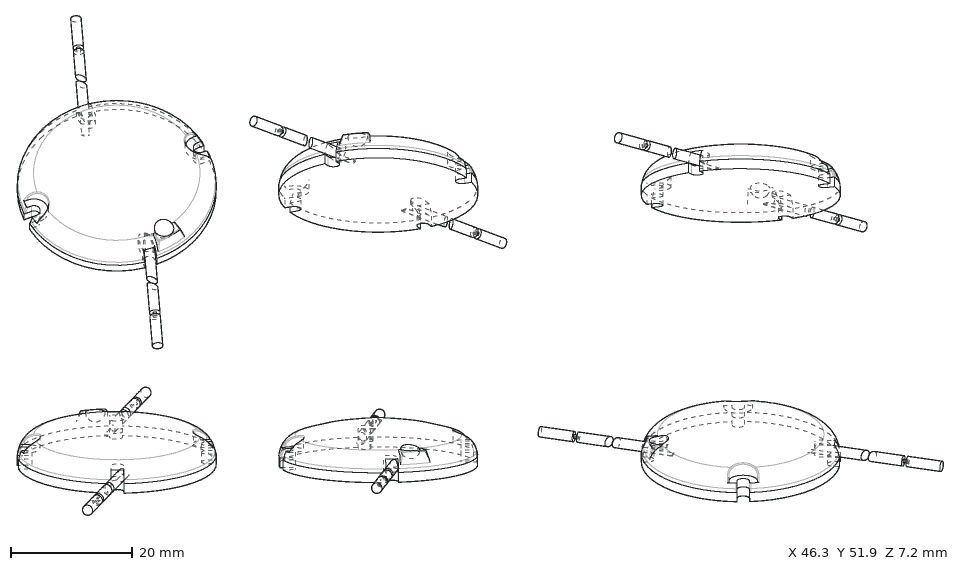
import cadquery as cq
import math

base_radius = 16.45
base_height = 1.65
cover_height = 7.2
rim_band = (16.3, 2.3)
shoulder_middle = (15.45, 3.9)
crown_edge = (13.75, 5.0)

notch_angle = 55.0
notch_center_radius = 15.1
notch_radius = 1.05
counterbore_radius = 2.4
counterbore_floor = 3.15
notch_edge_fillet = 0.2

pad_angle = -25.5
pad_half_width = 3.1
pad_inner_x = 10.4
pad_draft = 16.0
pad_edge_fillet = 0.2
dimple_radius = 1.6
dimple_center_radius = 13.75

cable_angle = -56.2
cable_offset = 4.45
cable_radius = 0.9
cable_z = 2.3
stub_start = 10.4
cable_end = 33.6
core_radius = 0.3
strip_start = 26.95
strip_end = 27.65
break_start = 20.25
break_end = 21.5
break_slant = 64.0

cable_notch_angle = -40.0
base_notch_center_radius = 15.4
cover_notch_center_radius = 13.25
cable_notch_ceiling = 3.8

clearance = 2.6
half_turns = (0, 180)


def turned(shape, angle):
    """Turn a shape about the vertical axis of the body."""
    return shape.rotate((0, 0, 0), (0, 0, 1), angle)


def rim_notch(radius, center_radius, angle, floor, ceiling):
    """Round-ended radial notch that opens outward through the rim."""
    mouth_length = base_radius + clearance - center_radius
    notch = (
        cq.Workplane("XY", origin=(center_radius, 0, floor))
        .moveTo(mouth_length, -radius)
        .lineTo(0, -radius)
        .threePointArc((-radius, 0), (0, radius))
        .lineTo(mouth_length, radius)
        .close()
        .extrude(ceiling - floor)
    )
    return turned(notch, angle)


def screw_notch():
    """Through notch for the shank of a screw."""
    return rim_notch(notch_radius, notch_center_radius, notch_angle, 0, cover_height)


def counterbore():
    """Wider notch above the screw notch for the head of the screw."""
    return rim_notch(
        counterbore_radius, notch_center_radius, notch_angle, counterbore_floor, cover_height
    )


def cable_notch(center_radius):
    """Notch around a cable, open at the bottom."""
    return rim_notch(notch_radius, center_radius, cable_notch_angle, 0, cable_notch_ceiling)


def cable_cylinder(start, end, radius):
    """Straight length of cable between two distances along its axis."""
    cylinder = (
        cq.Workplane("YZ", origin=(start, cable_offset, cable_z))
        .circle(radius)
        .extrude(end - start)
    )
    return turned(cylinder, cable_angle)


def beyond_cut(distance):
    """Block that covers the cable beyond a slanted cut at a distance along its axis."""
    length = cable_end
    block = (
        cq.Workplane("XY")
        .box(length, length, cover_height, centered=(False, True, False))
        .rotate((0, 0, 0), (0, 0, 1), break_slant - 90)
        .translate((distance, cable_offset, 0))
    )
    return turned(block, cable_angle)


def cable_stub():
    """Cable piece from inside the cover to the break."""
    stub = cable_cylinder(stub_start, strip_start, cable_radius)
    return stub.cut(beyond_cut(break_start))


def make_lead():
    """Cable piece beyond the break, stripped to its core over a short gap."""
    near_end = cable_cylinder(base_radius, strip_start, cable_radius)
    near_end = near_end.intersect(beyond_cut(break_end))
    core = cable_cylinder(strip_start, strip_end, core_radius)
    far_end = cable_cylinder(strip_end, cable_end, cable_radius)
    return near_end.union(core).union(far_end)


def indicator_pad():
    """Drafted block with flat top level with the edge of the crown."""
    side_x = math.sqrt(base_radius**2 - pad_half_width**2)
    pad = (
        cq.Workplane("XY", origin=(0, 0, base_height))
        .moveTo(pad_inner_x, -pad_half_width)
        .lineTo(side_x, -pad_half_width)
        .threePointArc((base_radius, 0), (side_x, pad_half_width))
        .lineTo(pad_inner_x, pad_half_width)
        .close()
        .extrude(crown_edge[1] - base_height, taper=pad_draft)
    )
    pad = pad.faces(">Z or >X").edges("not <Z").fillet(pad_edge_fillet)
    return turned(pad, pad_angle)


def dimple():
    """Ball that hollows out the top of the indicator pad."""
    ball = cq.Workplane("XY").sphere(dimple_radius)
    return turned(ball.translate((dimple_center_radius, 0, crown_edge[1])), pad_angle)


def cover_dome():
    """Revolved cover: drafted band, round shoulder and spherical crown."""
    crown_drop = cover_height - crown_edge[1]
    crown_radius = (crown_edge[0] ** 2 + crown_drop**2) / (2 * crown_drop)
    middle_r = crown_edge[0] / 2
    middle_z = cover_height - crown_radius + math.sqrt(crown_radius**2 - middle_r**2)
    return (
        cq.Workplane("XZ")
        .moveTo(0, base_height)
        .lineTo(base_radius, base_height)
        .lineTo(*rim_band)
        .threePointArc(shoulder_middle, crown_edge)
        .threePointArc((middle_r, middle_z), (0, cover_height))
        .close()
        .revolve(360, (0, 0, 0), (0, 1, 0))
    )


def notched_dome():
    """Cover dome with stepped screw notches whose mouths are rounded over."""
    dome = cover_dome()
    for turn in half_turns:
        dome = dome.cut(turned(counterbore(), turn))
        dome = dome.cut(turned(screw_notch(), turn))
    return dome.edges("%BSPLINE or %HYPERBOLA").fillet(notch_edge_fillet)


def make_cover():
    """Domed cover with its pad, notches and the two cable stubs."""
    cover = notched_dome().union(indicator_pad()).cut(dimple())
    for turn in half_turns:
        cover = cover.cut(turned(cable_notch(cover_notch_center_radius), turn))
        cover = cover.union(turned(cable_stub(), turn))
    return cover


def make_base():
    """Flat disc with the same notches as the cover and seats for the cable stubs."""
    base = cq.Workplane("XY").circle(base_radius).extrude(base_height)
    for turn in half_turns:
        base = base.cut(turned(screw_notch(), turn))
        base = base.cut(turned(cable_notch(base_notch_center_radius), turn))
        base = base.cut(turned(cable_stub(), turn))
    return base


cover = make_cover()
base = make_base()
leads = [turned(make_lead(), turn) for turn in half_turns]

result = cq.Compound.makeCompound([part.solids().val() for part in (cover, base, *leads)])